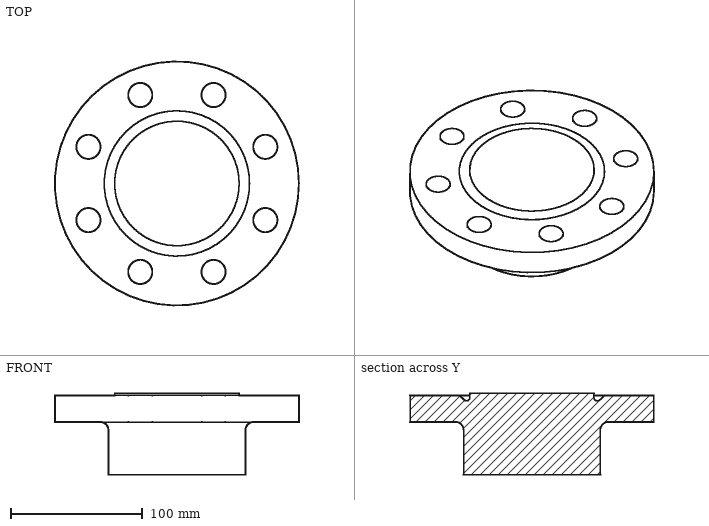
import cadquery as cq
import math

flange_diameter = 185.0
flange_thickness = 20.4

total_height = 62.0
hub_diameter = 104.2
hub_fillet = 6.0

disc_diameter = 94.4
disc_rise = 1.7
groove_outer_diameter = 110.0
groove_wall_run = 3.7
groove_wall_angle = 43.0

bolt_count = 8
bolt_hole_diameter = 18.1
bolt_circle_diameter = 145.0

flange_top = total_height - disc_rise
flange_bottom = flange_top - flange_thickness
hub_radius = hub_diameter / 2
disc_radius = disc_diameter / 2
groove_outer_radius = groove_outer_diameter / 2


def make_body():
    """Plate, filleted hub and centre disc, revolved about Z."""
    fillet_start = flange_bottom - hub_fillet
    return (
        cq.Workplane("XZ")
        .lineTo(hub_radius, 0)
        .lineTo(hub_radius, fillet_start)
        .radiusArc((hub_radius + hub_fillet, flange_bottom), hub_fillet)
        .lineTo(flange_diameter / 2, flange_bottom)
        .lineTo(flange_diameter / 2, flange_top)
        .lineTo(disc_radius, flange_top)
        .lineTo(disc_radius, total_height)
        .lineTo(0, total_height)
        .close()
        .revolve(360, (0, 0, 0), (0, 1, 0))
    )


def make_groove():
    """Ring groove whose round floor is tangent to its straight inner and sloping outer walls."""
    slope = math.radians(groove_wall_angle)
    foot_radius = groove_outer_radius - groove_wall_run
    foot_height = flange_top - groove_wall_run * math.tan(slope)
    floor_radius = (foot_radius - disc_radius) / (1 + math.sin(slope))
    floor_start = foot_height + floor_radius * math.cos(slope)
    floor_bottom = floor_start - floor_radius
    return (
        cq.Workplane("XZ")
        .moveTo(disc_radius, flange_top)
        .lineTo(disc_radius, floor_start)
        .threePointArc((disc_radius + floor_radius, floor_bottom), (foot_radius, foot_height))
        .lineTo(groove_outer_radius, flange_top)
        .close()
        .revolve(360, (0, 0, 0), (0, 1, 0))
    )


def make_bolt_holes():
    """Through holes straddling the X and Y axes."""
    return (
        cq.Workplane("XY")
        .workplane(offset=flange_bottom)
        .polarArray(bolt_circle_diameter / 2, 180 / bolt_count, 360, bolt_count)
        .circle(bolt_hole_diameter / 2)
        .extrude(flange_thickness)
    )


result = make_body().cut(make_groove()).cut(make_bolt_holes())